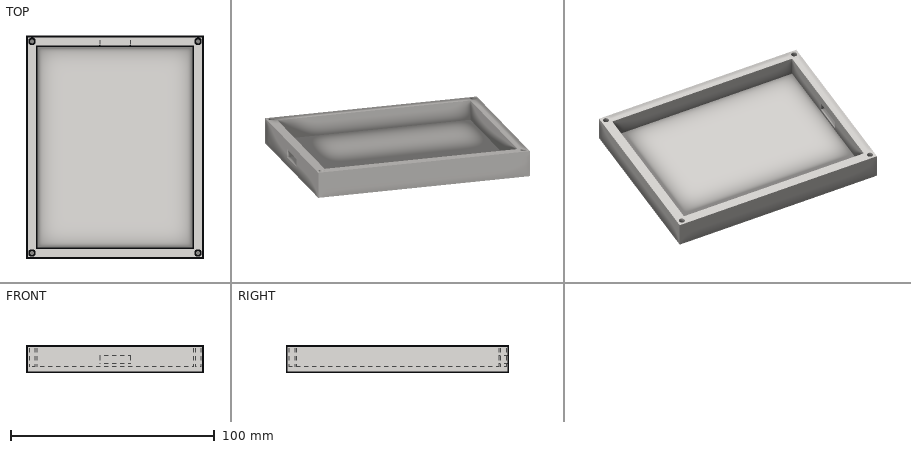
import cadquery as cq

width = 86.45
length = 108.81
height = 13.0
wall = 4.8
floor_thickness = 3.0

screw_hole_diameter = 2.9
screw_hole_depth = height - floor_thickness
screw_hole_inset = 2.5

opening_width = 15.0
opening_height = 4.0
opening_sill = 1.5


def make_tray():
    """Open-topped rectangular tray standing on Z = 0."""
    block = cq.Workplane("XY").box(width, length, height, centered=(True, True, False))
    cavity = (
        cq.Workplane("XY")
        .workplane(offset=floor_thickness)
        .rect(width - 2 * wall, length - 2 * wall)
        .extrude(height - floor_thickness)
    )
    return block.cut(cavity)


def make_screw_holes():
    """Four blind holes drilled down from the rim, one per corner."""
    return (
        cq.Workplane("XY")
        .workplane(offset=height)
        .rect(width - 2 * screw_hole_inset, length - 2 * screw_hole_inset, forConstruction=True)
        .vertices()
        .circle(screw_hole_diameter / 2)
        .extrude(-screw_hole_depth)
    )


def make_cable_opening():
    """Rectangular block spanning the full thickness of the +Y wall."""
    return (
        cq.Workplane("XY")
        .box(opening_width, wall, opening_height, centered=(True, True, False))
        .translate((0, (length - wall) / 2, floor_thickness + opening_sill))
    )


result = make_tray().cut(make_screw_holes()).cut(make_cable_opening())